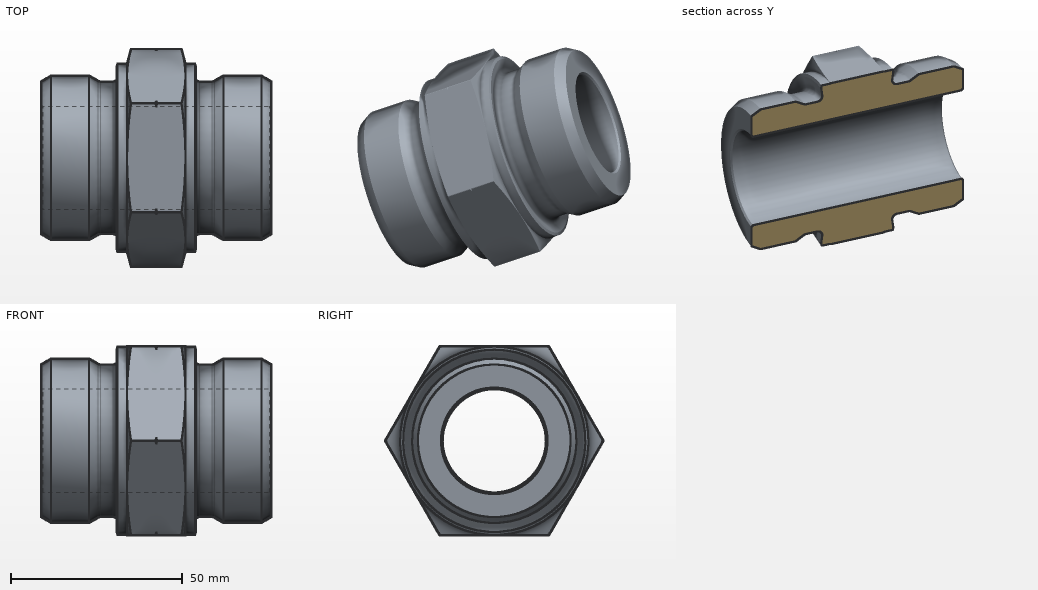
import cadquery as cq
import math

LENGTH = 67.0
BORE_DIAMETER = 30.0
BORE_CHAMFER = 0.5

HEX_SIDES = 6
HEX_FLATS = 55.0
HEX_CORNERS = 63.42
HEX_WIDTH = 17.0
HEX_CHAMFER_ANGLE = 15.0
MARK_WIDTH = 0.4
MARK_DEPTH = 0.4

COLLAR_DIAMETER = 54.8
COLLAR_WIDTH = 23.0
RIM_DIAMETER = 53.0
RIM_CHAMFER_ANGLE = 15.0
DISH_ANGLE = 8.0

SPIGOT_DIAMETER = 47.8
NECK_DIAMETER = 44.4
SPIGOT_CHAMFER_ANGLE = 30.0
SPIGOT_LENGTH = 14.0
NECK_FILLET = 1.5
NECK_SLOPE_FILLET = 1.5


def tan_deg(angle):
    return math.tan(math.radians(angle))


half_length = LENGTH / 2
bore_radius = BORE_DIAMETER / 2
spigot_radius = SPIGOT_DIAMETER / 2
neck_radius = NECK_DIAMETER / 2
collar_radius = COLLAR_DIAMETER / 2
rim_radius = RIM_DIAMETER / 2


def turn(outline):
    """Revolve a closed outline a full turn about the X axis."""
    return outline.revolve(360, (0, 0, 0), (1, 0, 0))


def make_turned_half():
    """Spigot, neck and collar on the +X end, solid down to the axis."""
    slope_length = (spigot_radius - neck_radius) / tan_deg(SPIGOT_CHAMFER_ANGLE)
    slope_start = half_length - SPIGOT_LENGTH
    slope_end = slope_start - slope_length
    rim_x = COLLAR_WIDTH / 2
    collar_edge_x = rim_x - (collar_radius - rim_radius) * tan_deg(RIM_CHAMFER_ANGLE)
    dish_x = rim_x - (rim_radius - neck_radius) * tan_deg(DISH_ANGLE)

    fillet_radial = neck_radius + NECK_FILLET
    setback = NECK_FILLET * tan_deg((90 + DISH_ANGLE) / 2)
    fillet_x = dish_x + setback
    dish = math.radians(DISH_ANGLE)
    arc_half_angle = math.radians((90 - DISH_ANGLE) / 2)
    dish_tangent = (dish_x + setback * math.sin(dish), neck_radius + setback * math.cos(dish))
    mid_angle = math.radians(270) - arc_half_angle
    fillet_mid = (
        fillet_x + NECK_FILLET * math.cos(mid_angle),
        fillet_radial + NECK_FILLET * math.sin(mid_angle),
    )

    slope = math.radians(SPIGOT_CHAMFER_ANGLE)
    slope_setback = NECK_SLOPE_FILLET * math.tan(slope / 2)
    slope_tangent = (
        slope_end + slope_setback * math.cos(slope),
        neck_radius + slope_setback * math.sin(slope),
    )
    slope_mid = (
        slope_end - slope_setback + NECK_SLOPE_FILLET * math.sin(slope / 2),
        neck_radius + NECK_SLOPE_FILLET * (1 - math.cos(slope / 2)),
    )

    outline = (
        cq.Workplane("XZ")
        .moveTo(0, 0)
        .lineTo(0, collar_radius)
        .lineTo(collar_edge_x, collar_radius)
        .lineTo(rim_x, rim_radius)
        .lineTo(*dish_tangent)
        .threePointArc(fillet_mid, (fillet_x, neck_radius))
        .lineTo(slope_end - slope_setback, neck_radius)
        .threePointArc(slope_mid, slope_tangent)
        .lineTo(slope_start, spigot_radius)
        .lineTo(half_length - slope_length, spigot_radius)
        .lineTo(half_length, neck_radius)
        .lineTo(half_length, 0)
        .close()
    )
    return turn(outline)


def make_hexagon():
    """Hexagon with flats facing +Z and -Z, corners trimmed, chamfered and nicked by turning."""
    corner_to_corner = HEX_FLATS / math.cos(math.pi / HEX_SIDES)
    prism = (
        cq.Workplane("YZ")
        .polygon(HEX_SIDES, corner_to_corner)
        .extrude(HEX_WIDTH / 2, both=True)
    )
    corner_radius = HEX_CORNERS / 2
    half_width = HEX_WIDTH / 2
    corner_x = half_width - (corner_radius - collar_radius) * tan_deg(HEX_CHAMFER_ANGLE)
    outline = (
        cq.Workplane("XZ")
        .moveTo(-half_width, 0)
        .lineTo(-half_width, collar_radius)
        .lineTo(-corner_x, corner_radius)
        .lineTo(-MARK_WIDTH / 2, corner_radius)
        .lineTo(0, corner_radius - MARK_DEPTH)
        .lineTo(MARK_WIDTH / 2, corner_radius)
        .lineTo(corner_x, corner_radius)
        .lineTo(half_width, collar_radius)
        .lineTo(half_width, 0)
        .close()
    )
    return prism.intersect(turn(outline))


def make_bore():
    """Through bore with a chamfer at each mouth."""
    mouth_radius = bore_radius + BORE_CHAMFER
    chamfer_x = half_length - BORE_CHAMFER
    outline = (
        cq.Workplane("XZ")
        .moveTo(-half_length, 0)
        .lineTo(-half_length, mouth_radius)
        .lineTo(-chamfer_x, bore_radius)
        .lineTo(chamfer_x, bore_radius)
        .lineTo(half_length, mouth_radius)
        .lineTo(half_length, 0)
        .close()
    )
    return turn(outline)


turned_half = make_turned_half()
turned_body = turned_half.union(turned_half.mirror("YZ"))
result = turned_body.union(make_hexagon()).cut(make_bore())